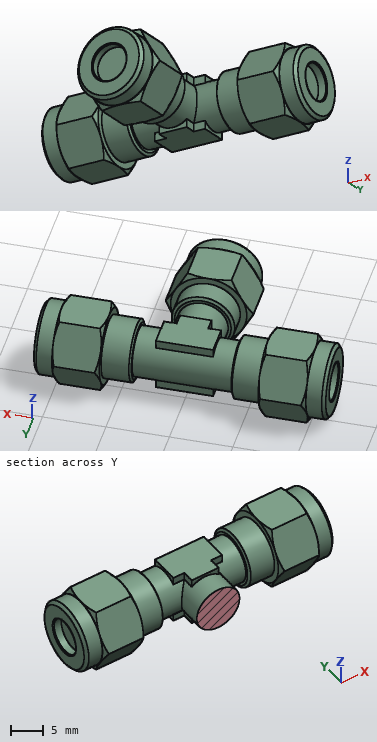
import cadquery as cq
import math

overall_length = 46.0
arm_length = overall_length / 2

neck_radius = 4.0
body_half_height = 4.5
body_half_length = 4.5
body_half_width = 2.5

sleeve_radius = 4.95
arm_sleeve_start = 7.85
branch_sleeve_start = 8.85
sleeve_chamfer_length = 0.28
sleeve_chamfer_depth = 0.5

nut_across_flats = 12.0
nut_length = 7.5
nut_corner_radius = nut_across_flats / math.sqrt(3)
nut_chamfer_angle = 30.0
nut_face_radius = nut_across_flats / 2

collar_radius = 5.95
collar_length = 3.0
collar_chamfer_length = 0.5
collar_chamfer_depth = 0.55

bore_radius = 3.0
bore_depth = 1.5
bore_chamfer = 0.2

nut_end = arm_length - collar_length
nut_start = nut_end - nut_length


def revolve_about_x(points):
    """Revolve a closed (distance along X, radius) outline about the X axis."""
    return cq.Workplane("XY").polyline(points).close().revolve(360, (0, 0, 0), (1, 0, 0))


def make_round_sections(sleeve_start):
    """Neck, sleeve and collar as one stepped shaft."""
    return revolve_about_x([
        (0, 0),
        (0, neck_radius),
        (sleeve_start, neck_radius),
        (sleeve_start, sleeve_radius - sleeve_chamfer_depth),
        (sleeve_start + sleeve_chamfer_length, sleeve_radius),
        (nut_end, sleeve_radius),
        (nut_end, collar_radius),
        (arm_length - collar_chamfer_length, collar_radius),
        (arm_length, collar_radius - collar_chamfer_depth),
        (arm_length, 0),
    ])


def make_nut():
    """Hexagon with flats facing up and down, its corners turned off at both ends."""
    hexagon = (
        cq.Workplane("YZ", origin=(nut_start, 0, 0))
        .polygon(6, 2 * nut_corner_radius)
        .extrude(nut_length)
    )
    chamfer_length = (nut_corner_radius - nut_face_radius) * math.tan(math.radians(nut_chamfer_angle))
    turned_envelope = revolve_about_x([
        (nut_start, 0),
        (nut_start, nut_face_radius),
        (nut_start + chamfer_length, nut_corner_radius),
        (nut_end - chamfer_length, nut_corner_radius),
        (nut_end, nut_face_radius),
        (nut_end, 0),
    ])
    return hexagon.intersect(turned_envelope)


def make_socket():
    """Blind tube socket with a chamfered mouth."""
    return revolve_about_x([
        (arm_length - bore_depth, 0),
        (arm_length - bore_depth, bore_radius),
        (arm_length - bore_chamfer, bore_radius),
        (arm_length, bore_radius + bore_chamfer),
        (arm_length, 0),
    ])


def make_body():
    """T-shaped block: a bar along the arms and a tab along the branch."""
    height = 2 * body_half_height
    bar = cq.Workplane("XY").box(2 * body_half_length, 2 * body_half_width, height)
    tab = (
        cq.Workplane("XY", origin=(0, -body_half_length / 2, 0))
        .box(2 * body_half_width, body_half_length, height)
    )
    return bar.union(tab)


def make_port(sleeve_start, direction):
    """One complete tube port, turned about Z to point in the given direction (degrees from +X)."""
    port = make_round_sections(sleeve_start).union(make_nut()).cut(make_socket())
    return port.rotate((0, 0, 0), (0, 0, 1), direction)


result = (
    make_body()
    .union(make_port(arm_sleeve_start, 0))
    .union(make_port(arm_sleeve_start, 180))
    .union(make_port(branch_sleeve_start, -90))
)